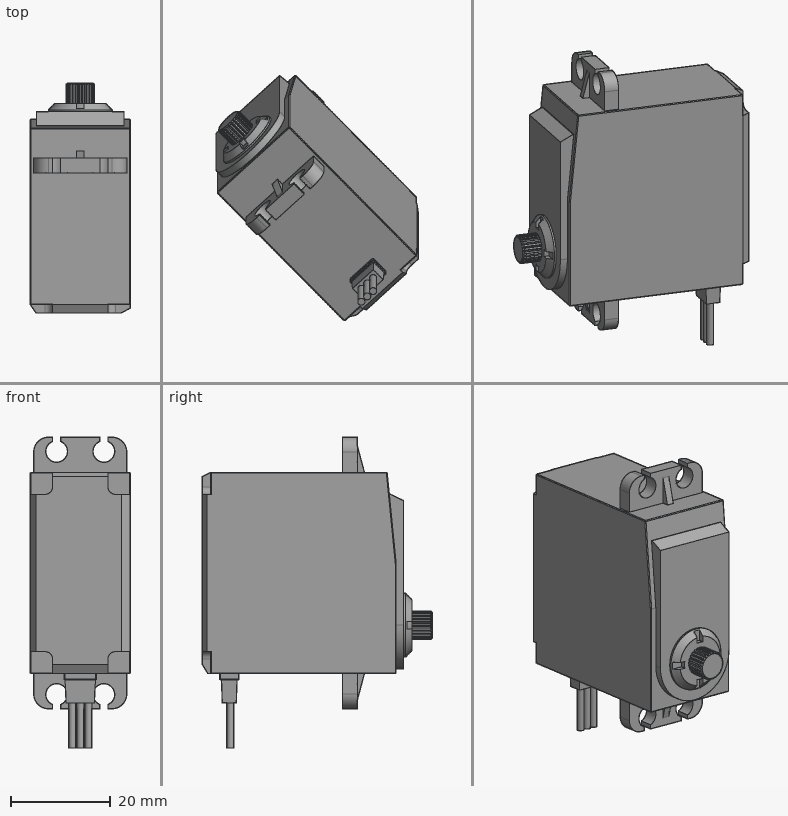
import cadquery as cq
import math


case_width = 20.0
case_height = 40.3
case_front = 1.7
case_back = 38.8
case_back_top = 37.0
slope_start = 1.85
edge_chamfer = 0.2
half_width = case_width / 2
half_height = case_height / 2

bevel_left = (1.2, 1.7)
bevel_right = (1.8, 1.0)
bevel_top = (0.9, 1.7)
bevel_bottom = (1.85, 1.1)
cover_back = case_front + edge_chamfer
pocket_inner = 5.55
pocket_height = 4.4
pocket_radius = 1.5

flange_width = 18.65
flange_tip = 27.2
flange_front = 28.05
flange_thickness = 3.0
flange_radius = 3.0
hole_diameter = 4.3
hole_spacing = 9.45
hole_from_tip = 2.85
hole_slot = 1.6
rib_width = 1.5
rib_depth = 1.4
rib_height = 5.35

plate_back = 40.3
plate_radius = 8.8
plate_top = 14.5
plate_bevel_drop = 2.75
plate_bevel_rise = 1.3

shaft_z = -10.45
collar_diameter = 12.8
collar_tip_diameter = 10.2
collar_shoulder = 40.7
collar_back = 42.0
notch_width = 1.4
notch_floor = 40.9
notch_wall_diameter = 7.9
shaft_end = 46.0
shaft_diameter = 5.8
spline_depth = 0.3
spline_count = 25
shaft_chamfer = 0.3

total_height = 62.2
wire_y = 5.6
grommet_y = 5.4
wire_diameter = 1.4
wire_pitch = 1.6
wire_count = 3
cable_end = flange_tip - total_height
grommet_collar = (6.5, 4.0, 1.25)
grommet_root = (6.15, 3.25)
grommet_tip = (5.7, 2.85)
grommet_length = 5.85
grommet_collar_chamfer = 0.2


def xz_plane(y):
    """Workplane at the given Y with local axes X and Z; a negative extrusion goes towards +Y."""
    return cq.Workplane("XZ", origin=(0, y, 0))


def make_case():
    outline = [
        (case_front, -half_height),
        (case_back, -half_height),
        (case_back, slope_start),
        (case_back_top, half_height),
        (case_front, half_height),
    ]
    case = cq.Workplane("YZ").polyline(outline).close().extrude(half_width, both=True)
    return case.edges().chamfer(edge_chamfer)


def cover_section(plane, low, high, half_size, half_length):
    """Bevelled cover section; low and high are the bevels of the two sides."""
    outline = [
        (0, low[0] - half_size),
        (low[1], -half_size),
        (cover_back, -half_size),
        (cover_back, half_size),
        (high[1], half_size),
        (0, half_size - high[0]),
    ]
    if plane == "XY":
        outline = [(across, depth) for depth, across in outline]
    return cq.Workplane(plane).polyline(outline).close().extrude(half_length, both=True)


def make_cover():
    cover = cover_section("XY", bevel_left, bevel_right, half_width, half_height)
    cover = cover.intersect(cover_section("YZ", bevel_bottom, bevel_top, half_height, half_width))
    for side_x in (-1, 1):
        for side_z in (-1, 1):
            center = (side_x * (pocket_inner + half_width), side_z * half_height)
            pocket = (
                xz_plane(0)
                .center(*center)
                .rect(2 * half_width, 2 * pocket_height)
                .extrude(-cover_back)
                .edges("|Y")
                .fillet(pocket_radius)
            )
            cover = cover.cut(pocket)
    return cover


def make_flanges():
    flanges = (
        xz_plane(flange_front)
        .rect(flange_width, 2 * flange_tip)
        .extrude(-flange_thickness)
        .edges("|Y")
        .fillet(flange_radius)
    )
    hole_z = flange_tip - hole_from_tip
    holes = (
        xz_plane(flange_front)
        .rect(hole_spacing, 2 * hole_z, forConstruction=True)
        .vertices()
        .circle(hole_diameter / 2)
        .extrude(-flange_thickness)
    )
    slots = (
        xz_plane(flange_front)
        .rect(hole_spacing, 2 * flange_tip, forConstruction=True)
        .vertices()
        .rect(hole_slot, 2 * hole_from_tip)
        .extrude(-flange_thickness)
    )
    flanges = flanges.cut(holes).cut(slots)

    flange_back = flange_front + flange_thickness
    rib_end = half_height + rib_height
    rib_outline = [
        (flange_back, -rib_end),
        (flange_back + rib_depth, -half_height),
        (flange_back + rib_depth, half_height),
        (flange_back, rib_end),
        (flange_front, rib_end),
        (flange_front, -rib_end),
    ]
    ribs = cq.Workplane("YZ").polyline(rib_outline).close().extrude(rib_width / 2, both=True)
    return flanges.union(ribs)


def make_plate():
    bevel_front = plate_back - plate_bevel_drop
    root_top = plate_top + plate_bevel_rise
    plate_front = flange_front
    plate = (
        xz_plane(plate_front)
        .moveTo(-plate_radius, root_top)
        .lineTo(-plate_radius, shaft_z)
        .threePointArc((0, shaft_z - plate_radius), (plate_radius, shaft_z))
        .lineTo(plate_radius, root_top)
        .close()
        .extrude(plate_front - plate_back)
    )
    bevel = (
        cq.Workplane("YZ")
        .polyline([(plate_back, plate_top), (plate_back, root_top), (bevel_front, root_top)])
        .close()
        .extrude(plate_radius, both=True)
    )
    return plate.cut(bevel)


def make_collar():
    collar_outline = [
        (0, case_back),
        (collar_diameter / 2, case_back),
        (collar_diameter / 2, collar_shoulder),
        (collar_tip_diameter / 2, collar_back),
        (0, collar_back),
    ]
    collar = cq.Workplane("XY").polyline(collar_outline).close().revolve(360, (0, 0), (0, 1))
    notch_depth = collar_back - notch_floor
    notches = xz_plane(notch_floor).rect(notch_width, collar_diameter).extrude(-notch_depth)
    notches = notches.union(
        xz_plane(notch_floor).rect(collar_diameter, notch_width).extrude(-notch_depth)
    )
    core = xz_plane(notch_floor).circle(notch_wall_diameter / 2).extrude(-notch_depth)
    return collar.cut(notches.cut(core)).translate((0, 0, shaft_z))


def make_shaft():
    tip_radius = shaft_diameter / 2
    root_radius = tip_radius - spline_depth
    pitch = 2 * math.pi / spline_count
    points = []
    for tooth in range(spline_count):
        middle = math.pi / 2 + tooth * pitch
        for offset, radius in ((-1 / 4, tip_radius), (1 / 4, tip_radius), (1 / 2, root_radius)):
            angle = middle + offset * pitch
            points.append((radius * math.cos(angle), radius * math.sin(angle)))
    splines = xz_plane(collar_back).polyline(points).close().extrude(collar_back - shaft_end)
    envelope = (
        xz_plane(collar_back)
        .circle(tip_radius)
        .extrude(collar_back - shaft_end)
        .faces(">Y")
        .chamfer(shaft_chamfer)
    )
    return splines.intersect(envelope).translate((0, 0, shaft_z))


def make_cable():
    case_bottom = cq.Workplane("XY", origin=(0, grommet_y, -half_height))
    collar_x, collar_y, collar_z = grommet_collar
    cable = (
        case_bottom.rect(collar_x, collar_y)
        .extrude(-collar_z)
        .edges("not >Z")
        .chamfer(grommet_collar_chamfer)
    )
    grommet = (
        case_bottom.rect(*grommet_root)
        .workplane(offset=-grommet_length)
        .rect(*grommet_tip)
        .loft()
    )
    cable = cable.union(grommet)
    for index in range(wire_count):
        wire_x = (index - (wire_count - 1) / 2) * wire_pitch
        wire = (
            cq.Workplane("XY", origin=(wire_x, wire_y, -half_height))
            .circle(wire_diameter / 2)
            .extrude(cable_end + half_height)
        )
        cable = cable.union(wire)
    return cable


result = make_case()
for piece in (make_cover(), make_flanges(), make_plate(), make_collar(), make_shaft(), make_cable()):
    result = result.union(piece)